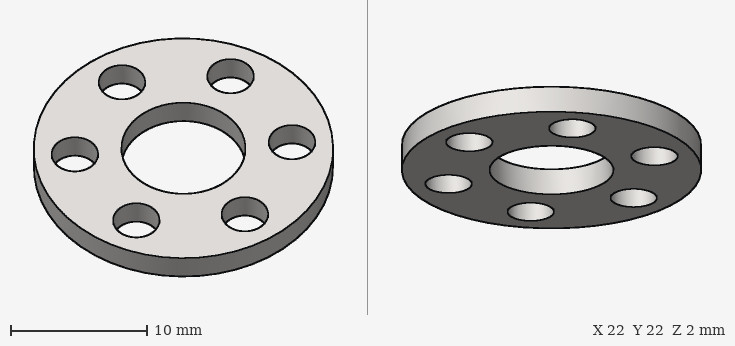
import cadquery as cq

outer_diameter = 22.0
thickness = 2.0
bore_diameter = 9.1
hole_diameter = 3.4
hole_circle_diameter = 16.0
hole_count = 6

disc = cq.Workplane("XY").circle(outer_diameter / 2).extrude(thickness)

ring = disc.faces(">Z").workplane().hole(bore_diameter)

result = (
    ring.faces(">Z")
    .workplane()
    .polarArray(hole_circle_diameter / 2, 0, 360, hole_count)
    .hole(hole_diameter)
)